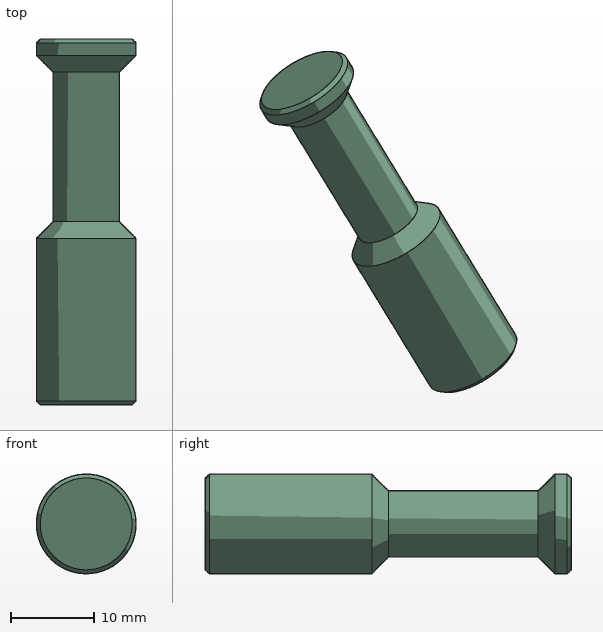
import cadquery as cq

total_length = 44.0
outer_diameter = 12.0
neck_diameter = 8.0
body_length = 20.0
head_length = 2.0
end_chamfer = 0.5

outer_radius = outer_diameter / 2
neck_radius = neck_diameter / 2
taper_length = outer_radius - neck_radius

neck_start = body_length + taper_length
head_start = total_length - head_length
neck_end = head_start - taper_length

profile = (
    cq.Workplane("XY")
    .moveTo(0, 0)
    .lineTo(outer_radius - end_chamfer, 0)
    .lineTo(outer_radius, end_chamfer)
    .lineTo(outer_radius, body_length)
    .lineTo(neck_radius, neck_start)
    .lineTo(neck_radius, neck_end)
    .lineTo(outer_radius, head_start)
    .lineTo(outer_radius, total_length - end_chamfer)
    .lineTo(outer_radius - end_chamfer, total_length)
    .lineTo(0, total_length)
    .close()
)

result = profile.revolve(360, (0, 0, 0), (0, 1, 0))